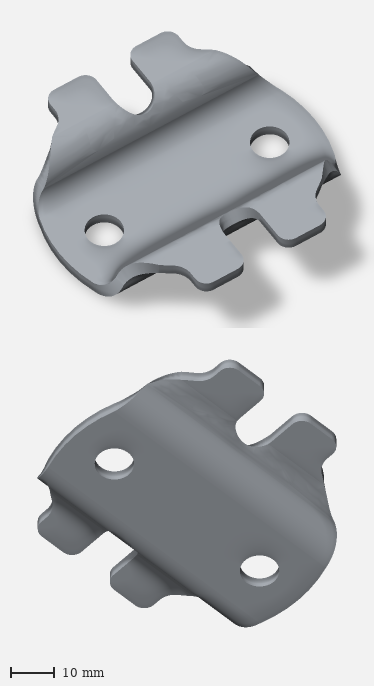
import cadquery as cq
import math

length = 70.0
width = 66.0
thickness = 3.0
inner_radius = 4.0
outer_radius = inner_radius + thickness
neutral_radius = 5.05
floor_half_width = 11.05

blank_radius = length / 2
tab_outer_y = 17.65
tab_corner_radius = 3.0
tab_root_radius = 5.0
slot_radius = 5.0
slot_arc_center_x = 22.95
hole_diameter = 9.0
hole_y = 22.75

half_width = width / 2
flange_x = floor_half_width + inner_radius + outer_radius
height = inner_radius + outer_radius + thickness
quarter_turn = math.pi / 2
bend_length = neutral_radius * quarter_turn
middle_s = floor_half_width + bend_length
flange_s = middle_s + bend_length
flange_shift = flange_s - flange_x
lower_center = (floor_half_width, outer_radius)
upper_center = (flange_x, height - outer_radius)
cut_margin = 0.7
curve_samples = 13


def blank_edge(s):
    """Half length of the disc at blank distance s from the middle."""
    return math.sqrt(blank_radius**2 - s**2)


def lower_point(radius, angle, y):
    """Point on the lower bend; the angle starts at the floor."""
    cx, cz = lower_center
    return cq.Vector(cx + radius * math.sin(angle), y, cz - radius * math.cos(angle))


def upper_point(radius, angle, y):
    """Point on the upper bend; the angle starts at the flange."""
    cx, cz = upper_center
    return cq.Vector(cx - radius * math.sin(angle), y, cz + radius * math.cos(angle))


def bent_band(point, radii, stations):
    """Bent solid from (angle, half length) stations, with edges square to the sheet."""
    def edge(radius, side):
        return cq.Edge.makeSpline([point(radius, a, side * y) for a, y in stations])

    inner_left, inner_right = [edge(radii[0], side) for side in (-1, 1)]
    outer_left, outer_right = [edge(radii[1], side) for side in (-1, 1)]
    sides = [
        (inner_left, inner_right),
        (outer_left, outer_right),
        (inner_left, outer_left),
        (inner_right, outer_right),
    ]
    faces = [cq.Face.makeRuledSurface(first, second) for first, second in sides]
    for angle, y in (stations[0], stations[-1]):
        if y > 0:
            corners = [
                point(radii[0], angle, -y),
                point(radii[0], angle, y),
                point(radii[1], angle, y),
                point(radii[1], angle, -y),
            ]
            faces.append(cq.Face.makeFromWires(cq.Wire.makePolygon(corners, close=True)))
    solid = cq.Solid.makeSolid(cq.Shell.makeShell(faces))
    return cq.Workplane(solid.fix())


def bend(point, start_s, direction):
    """Quarter bend whose ends follow the disc edge."""
    stations = []
    for i in range(curve_samples):
        angle = quarter_turn * i / (curve_samples - 1)
        stations.append((angle, blank_edge(start_s + direction * neutral_radius * angle)))
    return bent_band(point, (inner_radius, outer_radius), stations)


def slot_end_cutter():
    """Rounded slot end, wrapped around the upper bend."""
    center_offset = slot_arc_center_x - flange_x
    start = math.asin(center_offset / slot_radius)
    stations = []
    for i in range(curve_samples):
        turn = start + (quarter_turn - start) * i / (curve_samples - 1)
        angle = (slot_radius * math.sin(turn) - center_offset) / neutral_radius
        half_slot = slot_radius * math.cos(turn) if i < curve_samples - 1 else 0.0
        stations.append((angle, half_slot))
    radii = (inner_radius - cut_margin, outer_radius + cut_margin)
    return bent_band(upper_point, radii, stations)


def floor():
    """Flat floor with arched ends and two holes."""
    end_y = blank_edge(floor_half_width)
    return (
        cq.Workplane("XY")
        .moveTo(-floor_half_width, -end_y)
        .threePointArc((0, -blank_radius), (floor_half_width, -end_y))
        .lineTo(floor_half_width, end_y)
        .threePointArc((0, blank_radius), (-floor_half_width, end_y))
        .close()
        .extrude(thickness)
        .pushPoints([(0, -hole_y), (0, hole_y)])
        .circle(hole_diameter / 2)
        .cutThruAll()
    )


def flange():
    """Flat flange on +X: two tabs with a slot between them."""
    root_y = tab_outer_y + tab_root_radius
    root_s = math.sqrt((blank_radius + tab_root_radius)**2 - root_y**2)
    root_x = root_s - flange_shift
    reach = blank_radius / (blank_radius + tab_root_radius)
    tangent = (root_s * reach - flange_shift, root_y * reach)
    slot_y = math.sqrt(slot_radius**2 - (slot_arc_center_x - flange_x)**2)
    start_y = blank_edge(flange_s)
    disc_s = (flange_s + root_s * reach) / 2
    disc_middle = (disc_s - flange_shift, blank_edge(disc_s))
    direction = (math.atan2(-root_y, -root_s) - quarter_turn) / 2
    root_middle = (
        root_x + tab_root_radius * math.cos(direction),
        root_y + tab_root_radius * math.sin(direction),
    )
    half = (
        cq.Workplane("XY", origin=(0, 0, height - thickness))
        .moveTo(flange_x, slot_y)
        .lineTo(flange_x, start_y)
        .threePointArc(disc_middle, tangent)
        .threePointArc(root_middle, (root_x, tab_outer_y))
        .lineTo(half_width, tab_outer_y)
        .lineTo(half_width, slot_radius)
        .lineTo(slot_arc_center_x, slot_radius)
        .radiusArc((flange_x, slot_y), -slot_radius)
        .close()
        .extrude(thickness)
    )
    half = half.edges("|Z and >X").fillet(tab_corner_radius)
    return half.union(half.mirror("XZ"))


side = (
    bend(lower_point, floor_half_width, 1)
    .union(bend(upper_point, flange_s, -1).cut(slot_end_cutter()))
    .union(flange())
)
result = floor().union(side).union(side.mirror("YZ"))